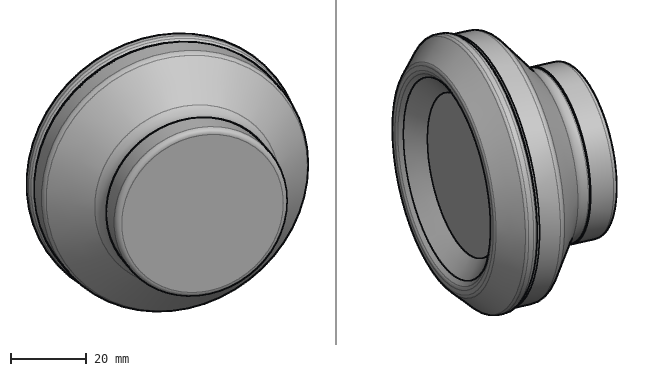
import cadquery as cq
import math


seam_x = 10.1
seam_bore_radius = 27.45

dish_top_x = 0.4
dish_top_radius = 28.7
dish_floor_x = 6.1
dish_floor_radius = 22.4
dish_slope = (dish_floor_x - dish_top_x) / (dish_top_radius - dish_floor_radius)
dish_seam_x = dish_top_x + (dish_top_radius - seam_bore_radius) * dish_slope

rim_radius = 37.9
face_inner_radius = 29.65
face_outer_radius = 30.95
front_cone_start_x = 0.4
front_cone_start_radius = 31.85
front_cone_end_x = 6.2
front_cone_end_radius = 37.55
crown_start_x = 7.05
crown_end_x = 8.5
bevel_start_x = 9.4
bevel_start_radius = 37.55
bevel_end_radius = bevel_start_radius - (seam_x - bevel_start_x)

flange_radius = 74.0 / 2
flange_edge = 0.6
flange_end_x = 16.7
shoulder_end_x = 18.3
shoulder_end_radius = 36.25
neck_start_x = 27.15
neck_start_radius = 25.7
neck_end_x = 31.1
neck_radius = 47.6 / 2

collar_x = 31.8
collar_radius = 48.0 / 2
collar_edge = collar_radius - neck_radius
back_x = 40.0
back_fillet = 1.6


def turn(profile):
    """Close an (x, radius) profile and revolve it about the X axis."""
    return profile.close().revolve(360, (0, 0, 0), (1, 0, 0))


def make_rim():
    return turn(
        cq.Workplane("XY")
        .moveTo(0, face_inner_radius)
        .lineTo(0, face_outer_radius)
        .tangentArcPoint((front_cone_start_x, front_cone_start_radius), relative=False)
        .lineTo(front_cone_end_x, front_cone_end_radius)
        .tangentArcPoint((crown_start_x, rim_radius), relative=False)
        .lineTo(crown_end_x, rim_radius)
        .tangentArcPoint((bevel_start_x, bevel_start_radius), relative=False)
        .lineTo(seam_x, bevel_end_radius)
        .lineTo(seam_x, seam_bore_radius)
        .lineTo(dish_seam_x, seam_bore_radius)
        .lineTo(dish_top_x, dish_top_radius)
        .tangentArcPoint((0, face_inner_radius), relative=False)
    )


def make_knob():
    arc_inset = back_fillet * (1 - math.sqrt(0.5))
    return turn(
        cq.Workplane("XY")
        .moveTo(dish_floor_x, 0)
        .lineTo(dish_floor_x, dish_floor_radius)
        .lineTo(dish_seam_x, seam_bore_radius)
        .lineTo(seam_x, seam_bore_radius)
        .lineTo(seam_x, flange_radius - flange_edge)
        .lineTo(seam_x + flange_edge, flange_radius)
        .lineTo(flange_end_x, flange_radius)
        .tangentArcPoint((shoulder_end_x, shoulder_end_radius), relative=False)
        .lineTo(neck_start_x, neck_start_radius)
        .tangentArcPoint((neck_end_x, neck_radius), relative=False)
        .lineTo(collar_x - collar_edge, neck_radius)
        .lineTo(collar_x, collar_radius)
        .lineTo(back_x - back_fillet, collar_radius)
        .threePointArc(
            (back_x - arc_inset, collar_radius - arc_inset),
            (back_x, collar_radius - back_fillet),
        )
        .lineTo(back_x, 0)
    )


rim = make_rim()
knob = make_knob()
result = cq.Compound.makeCompound([rim.val(), knob.val()])